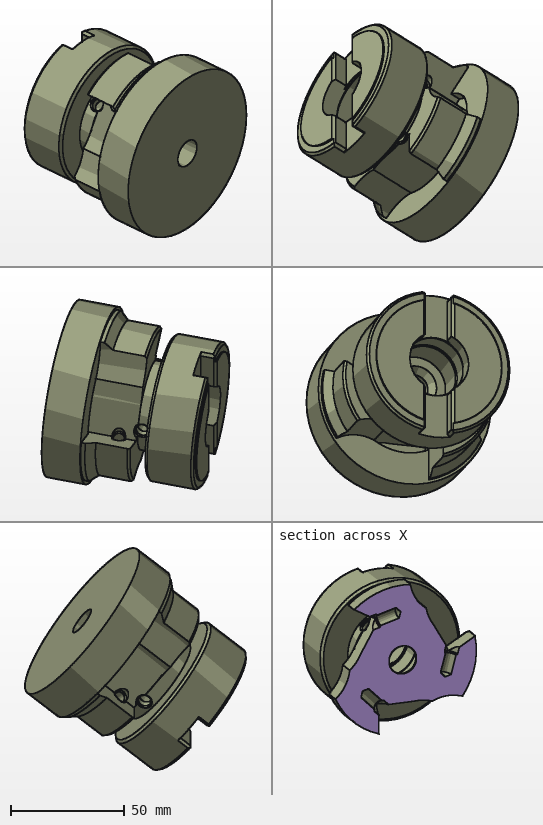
import cadquery as cq
import math

land_height = 0.6
disc_end = 22.8
lobe_start = 29.1
cone_start = 44.6
cone_end = 48.6
flange_start = 50.5
total_length = 68.0

land_radius = 29.0
disc_radius = 33.2
neck_radius = 20.5
lobe_radius = 35.1
root_radius = 38.6
flange_radius = 40.0
front_chamfer = 1.0
back_chamfer = 1.2

bore_radius = 13.6
bore_depth = 33.6
undercut_radius = 14.2
undercut_start = 8.1
undercut_end = 19.0
countersink_radius = 9.4
through_radius = 6.4

slot_width = 12.0
slot_depth = 7.2
slot_chamfer = 1.3

pocket_count = 3
first_pocket_angle = 30.0
flat_height = 20.1
wall_offset = -11.2
flat_end = 5.4
crest_offset = 14.1
crest_height = 21.1
scoop_radius = 19.2
scoop_end_offset = 33.2
scoop_end_height = 23.2
ramp_radius = 19.2
recess_radius = 25.4
recess_depth = 4.8

neck_hole_x = 27.3
neck_hole_angle = -18.3
neck_hole_radius = 2.9
neck_hole_mouth_radius = 3.48
neck_hole_depth = 3.6
corner_hole_x = 37.1
corner_hole_radius = 2.5
corner_hole_mouth_radius = 3.1
corner_hole_depth = 9.6
drill_point_angle = 118.0

x_axis = ((0, 0, 0), (1, 0, 0))


def revolved(outline):
    """Solid of revolution about X from (x, radius) points."""
    return cq.Workplane("XY").polyline(outline).close().revolve(360, *x_axis)


def outer_body():
    return revolved([
        (0, 0),
        (0, land_radius),
        (land_height, land_radius),
        (land_height, disc_radius - front_chamfer),
        (land_height + front_chamfer, disc_radius),
        (disc_end - back_chamfer, disc_radius),
        (disc_end, disc_radius - back_chamfer),
        (disc_end, neck_radius),
        (lobe_start, neck_radius),
        (lobe_start, lobe_radius - front_chamfer),
        (lobe_start + front_chamfer, lobe_radius),
        (cone_start, lobe_radius),
        (cone_end, root_radius),
        (flange_start, root_radius),
        (flange_start, flange_radius),
        (total_length, flange_radius),
        (total_length, 0),
    ])


def bore():
    undercut_step = undercut_radius - bore_radius
    countersink_end = bore_depth + countersink_radius - through_radius
    return revolved([
        (0, 0),
        (0, bore_radius),
        (undercut_start, bore_radius),
        (undercut_start + undercut_step, undercut_radius),
        (undercut_end - undercut_step, undercut_radius),
        (undercut_end, bore_radius),
        (bore_depth, bore_radius),
        (bore_depth, countersink_radius),
        (countersink_end, through_radius),
        (total_length, through_radius),
        (total_length, 0),
    ])


def drive_slot():
    """Slot along Z whose walls are chamfered at the front face, the rim and the bore."""
    half = slot_width / 2
    mouth = half + slot_chamfer
    rim_edge = math.sqrt(disc_radius**2 - mouth**2)
    bore_edge = math.sqrt(bore_radius**2 - mouth**2)
    front_outline = [
        (0, -mouth),
        (slot_chamfer, -half),
        (slot_depth, -half),
        (slot_depth, half),
        (slot_chamfer, half),
        (0, mouth),
    ]
    slot = cq.Workplane("XY").polyline(front_outline).close().extrude(flange_radius, both=True)
    for end in (1, -1):
        half_outline = [
            (mouth, 0),
            (mouth, end * bore_edge),
            (half, end * (bore_edge + slot_chamfer)),
            (half, end * (rim_edge - slot_chamfer)),
            (mouth, end * rim_edge),
            (mouth, end * flange_radius),
        ]
        mirrored = [(-y, z) for y, z in reversed(half_outline)]
        flared = cq.Workplane("YZ").polyline(half_outline + mirrored).close().extrude(slot_depth)
        slot = slot.union(flared)
    return slot


def pocket():
    """Pocket facing +Y: a straight wall, a flat floor, a ramp and a scoop, as (y, z) points.

    Near the axis the pocket runs on into a recess in the flange face.
    """
    clear = 2 * flange_radius
    recess_end = flange_start + recess_depth
    limits = revolved([
        (lobe_start, 0),
        (lobe_start, clear),
        (flange_start, clear),
        (flange_start, recess_radius),
        (recess_end, recess_radius),
        (recess_end, 0),
    ])
    return (
        cq.Workplane("YZ", origin=(lobe_start, 0, 0))
        .moveTo(clear, wall_offset)
        .lineTo(flat_height, wall_offset)
        .lineTo(flat_height, flat_end)
        .radiusArc((crest_height, crest_offset), ramp_radius)
        .radiusArc((scoop_end_height, scoop_end_offset), scoop_radius)
        .lineTo(clear, scoop_end_offset)
        .close()
        .extrude(recess_end - lobe_start)
        .intersect(limits)
    )


def drilled_hole(mouth, direction, radius, mouth_radius, depth):
    """Blind chamfered hole with a drill point, opening at mouth and running along direction."""
    chamfer = mouth_radius - radius
    point_length = radius / math.tan(math.radians(drill_point_angle / 2))
    outline = [
        (0, -depth),
        (mouth_radius, -depth),
        (mouth_radius, 0),
        (radius, chamfer),
        (radius, depth),
        (0, depth + point_length),
    ]
    plane = cq.Plane(origin=mouth, xDir=(1, 0, 0), normal=cq.Vector(1, 0, 0).cross(cq.Vector(*direction)))
    return cq.Workplane(plane).polyline(outline).close().revolve(360, (0, 0, 0), (0, 1, 0))


def neck_hole():
    angle = math.radians(neck_hole_angle)
    outward = (0, math.cos(angle), math.sin(angle))
    mouth = (neck_hole_x, flat_height * outward[1], flat_height * outward[2])
    inward = tuple(-c for c in outward)
    return drilled_hole(mouth, inward, neck_hole_radius, neck_hole_mouth_radius, neck_hole_depth)


def corner_hole():
    mouth = (corner_hole_x, flat_height, wall_offset)
    return drilled_hole(
        mouth, (0, -1, -1), corner_hole_radius, corner_hole_mouth_radius, corner_hole_depth
    )


result = outer_body().cut(bore()).cut(drive_slot())
for index in range(pocket_count):
    angle = first_pocket_angle + index * 360 / pocket_count
    for cutter in (pocket(), neck_hole(), corner_hole()):
        result = result.cut(cutter.rotate(*x_axis, angle))